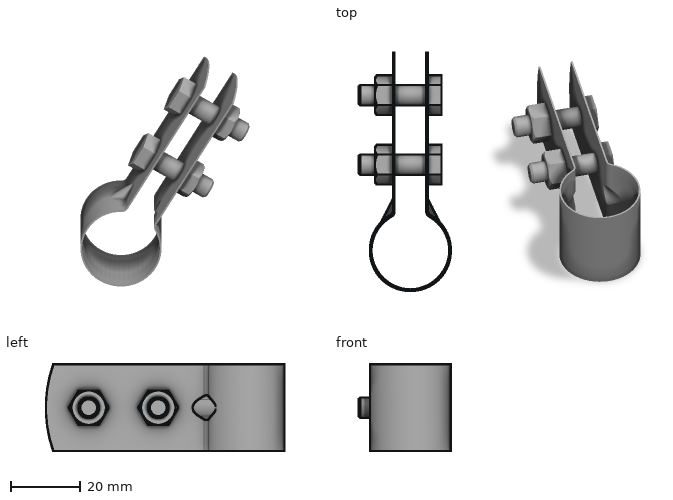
import cadquery as cq
import math

overall_length = 68.8
overall_width = 26.6

sheet = 0.5
height = 25.0
ring_radius = 11.7
arm_outside = 5.0
bend_radius = 1.5
arm_tip_y = overall_length - ring_radius
tip_arc_radius = 37.5

bead_arm_y = 14.8
bead_ring_y = 8.05
bead_inner_radius = 3.5
bead_flank_angle = 36
bead_overrun = 2.75
bead_depth = 3.45

bolt_spacing = 20.0
far_bolt_inset = 12.4
far_bolt_y = arm_tip_y - far_bolt_inset
bolt_positions = [far_bolt_y - bolt_spacing, far_bolt_y]
bolt_diameter = 6.0
bolt_tip_diameter = 4.9
bolt_tip_x = ring_radius - overall_width
bolt_tip_chamfer = 0.6
across_flats = 10.0
across_corners = across_flats / math.cos(math.radians(30))
head_thickness = 4.0
nut_thickness = 5.2
nut_face_diameter = 9.9
nut_chamfer = 0.6


def clamp_fill(inset):
    """Solid bounded by the strip face lying `inset` inside the outer face."""
    half_width = arm_outside - inset
    radius = ring_radius - inset
    bend = bend_radius + inset
    bend_x = half_width + bend
    bend_y = math.sqrt((radius + bend) ** 2 - bend_x ** 2)
    bend_direction = math.atan2(bend_y, bend_x)
    tangent_x = radius * math.cos(bend_direction)
    tangent_y = radius * math.sin(bend_direction)
    middle_angle = math.pi + bend_direction / 2
    middle_x = bend_x + bend * math.cos(middle_angle)
    middle_y = bend_y + bend * math.sin(middle_angle)
    return (
        cq.Workplane("XY")
        .workplane(offset=-height / 2)
        .moveTo(-half_width, arm_tip_y)
        .lineTo(-half_width, bend_y)
        .threePointArc((-middle_x, middle_y), (-tangent_x, tangent_y))
        .threePointArc((0, -radius), (tangent_x, tangent_y))
        .threePointArc((middle_x, middle_y), (half_width, bend_y))
        .lineTo(half_width, arm_tip_y)
        .close()
        .extrude(height)
    )


def bead_fill(inset):
    """Round-crested wedge along the +X bead, `inset` below the bead's outer face."""
    start = cq.Vector(arm_outside, bead_arm_y, 0)
    end = cq.Vector(math.sqrt(ring_radius ** 2 - bead_ring_y ** 2), bead_ring_y, 0)
    along = (end - start).normalized()
    outward = cq.Vector(-along.y, along.x, 0)
    radius = bead_inner_radius + sheet - inset
    crest = -inset
    flank = math.radians(bead_flank_angle)
    shoulder = radius * math.sin(flank)
    shoulder_level = crest - radius * (1 - math.cos(flank))
    foot = shoulder + (shoulder_level + bead_depth) / math.tan(flank)
    plane = cq.Plane(origin=start - along * bead_overrun, xDir=outward, normal=along)
    return (
        cq.Workplane(plane)
        .moveTo(-bead_depth, -foot)
        .lineTo(shoulder_level, -shoulder)
        .threePointArc((crest, 0), (shoulder_level, shoulder))
        .lineTo(-bead_depth, foot)
        .close()
        .extrude((end - start).Length + 2 * bead_overrun)
    )


def both_sides(body):
    """The +X body together with its mirror image on the -X side."""
    return body.union(body.mirror("YZ"))


def rod(diameter, start_x, end_x, y):
    """Cylinder along X."""
    return (
        cq.Workplane("YZ", origin=(start_x, 0, 0))
        .center(y, 0)
        .circle(diameter / 2)
        .extrude(end_x - start_x)
    )


def hexagon(start_x, end_x, y):
    """Hexagonal prism with two flats facing up and down."""
    return (
        cq.Workplane("YZ", origin=(start_x, 0, 0))
        .center(y, 0)
        .polygon(6, across_corners)
        .extrude(end_x - start_x)
    )


def make_clamp():
    outside = clamp_fill(0).union(both_sides(bead_fill(0)))
    inside = clamp_fill(sheet).union(both_sides(bead_fill(sheet)))
    clamp = outside.cut(inside)
    corner_y = (
        arm_tip_y - tip_arc_radius
        + math.sqrt(tip_arc_radius ** 2 - (height / 2) ** 2)
    )
    tip_outline = (
        cq.Workplane("YZ")
        .moveTo(-ring_radius, -height / 2)
        .lineTo(corner_y, -height / 2)
        .threePointArc((arm_tip_y, 0), (corner_y, height / 2))
        .lineTo(-ring_radius, height / 2)
        .close()
        .extrude(ring_radius, both=True)
    )
    clamp = clamp.intersect(tip_outline)
    for y in bolt_positions:
        clamp = clamp.cut(rod(bolt_diameter, -ring_radius, ring_radius, y))
    return clamp


def make_bolt(y):
    head = hexagon(arm_outside, arm_outside + head_thickness, y)
    shank = rod(bolt_diameter, bolt_tip_x + bolt_tip_chamfer, arm_outside, y)
    tip = (
        cq.Workplane("YZ", origin=(bolt_tip_x, 0, 0))
        .center(y, 0)
        .circle(bolt_tip_diameter / 2)
        .workplane(offset=bolt_tip_chamfer)
        .circle(bolt_diameter / 2)
        .loft(combine=True)
    )
    return head.union(shank).union(tip)


def make_nut(y):
    face_x = -arm_outside - nut_thickness
    envelope = (
        cq.Workplane("XY", origin=(0, y, 0))
        .moveTo(face_x, 0)
        .lineTo(face_x, nut_face_diameter / 2)
        .lineTo(face_x + nut_chamfer, across_corners / 2)
        .lineTo(-arm_outside, across_corners / 2)
        .lineTo(-arm_outside, 0)
        .close()
        .revolve(360, (0, 0, 0), (1, 0, 0))
    )
    nut = hexagon(face_x, -arm_outside, y).intersect(envelope)
    return nut.cut(rod(bolt_diameter, face_x, -arm_outside, y))


clamp = make_clamp()
bolts = [make_bolt(y) for y in bolt_positions]
nuts = [make_nut(y) for y in bolt_positions]

result = cq.Compound.makeCompound(
    [clamp.solids().val()]
    + [bolt.solids().val() for bolt in bolts]
    + [nut.solids().val() for nut in nuts]
)